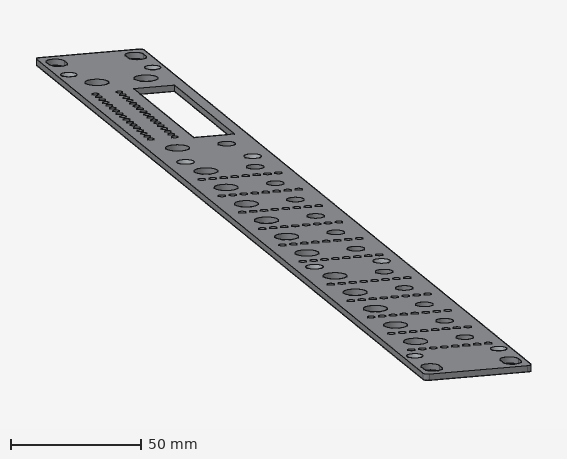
import cadquery as cq

panel_length = 483.0
panel_height = 43.5
panel_thickness = 2.5
corner_radius = 2.0

slot_length = 10.5
slot_width = 7.2
slot_x = 232.5
slot_y = 16.0

left_column_x = -200.5
left_to_display_column = 100.0
display_column_to_blocks = 35.5
block_pitch = 160.0
column_pitch = left_to_display_column / 4
block_column_counts = (6, 5)
knob_y = -10.0
upper_y = 9.5
knob_diameter = 9.0
button_diameter = 7.0

meter_offset = 11.0
meter_hole_count = 8
meter_span = 31.0
meter_hole_diameter = 3.0

window_length = 74.5
window_height = 16.5
window_x = -150.0
window_y = 8.5
indicator_count = 17
indicator_span = 68.5
indicator_hole_diameter = 2.6
indicator_rows_y = (-6.5, -16.0)

countersink_angle = 90
end_screw_x = 214.5
end_screw_y = 17.0
end_screw_diameter = 3.5
end_screw_head_diameter = 6.5
block_screw_offset = 15.0
block_screw_y = 13.5
block_screw_diameter = 3.0
block_screw_head_diameter = 7.0

display_column_x = left_column_x + left_to_display_column
first_block_x = display_column_x + display_column_to_blocks
block_starts = [first_block_x + i * block_pitch for i in range(len(block_column_counts))]
channel_columns = [
    start + i * column_pitch
    for start, count in zip(block_starts, block_column_counts)
    for i in range(count)
]


def spread(span, count):
    """Evenly spaced positions centred on zero."""
    return [span * (i / (count - 1) - 0.5) for i in range(count)]


def mirrored(x, y):
    """The four points at plus and minus x and y."""
    return [(side * x, level * y) for side in (-1, 1) for level in (-1, 1)]


def front_face(body, points):
    """The upper face of the panel with the given points picked, measured from the panel centre."""
    return body.faces(">Z").workplane(origin=(0, 0, 0)).pushPoints(points)


def cut_mounting_slots(body):
    return front_face(body, mirrored(slot_x, slot_y)).slot2D(slot_length, slot_width).cutThruAll()


def cut_display(body):
    body = front_face(body, [(window_x, window_y)]).rect(window_length, window_height).cutThruAll()
    indicators = [
        (window_x + x, y) for y in indicator_rows_y for x in spread(indicator_span, indicator_count)
    ]
    return front_face(body, indicators).hole(indicator_hole_diameter)


def drill_controls(body):
    button_columns = [display_column_x] + channel_columns
    knobs = [(x, knob_y) for x in [left_column_x] + button_columns]
    knobs.append((left_column_x, upper_y))
    buttons = [(x, upper_y) for x in button_columns]
    body = front_face(body, knobs).hole(knob_diameter)
    return front_face(body, buttons).hole(button_diameter)


def drill_meters(body):
    holes = [(x + meter_offset, y) for x in channel_columns for y in spread(meter_span, meter_hole_count)]
    return front_face(body, holes).hole(meter_hole_diameter)


def drill_screws(body):
    end_screws = mirrored(end_screw_x, end_screw_y)
    block_screws = [
        (start - block_screw_offset, level * block_screw_y) for start in block_starts for level in (-1, 1)
    ]
    body = front_face(body, end_screws).cskHole(
        end_screw_diameter, end_screw_head_diameter, countersink_angle
    )
    return front_face(body, block_screws).cskHole(
        block_screw_diameter, block_screw_head_diameter, countersink_angle
    )


panel = cq.Workplane("XY").box(panel_length, panel_height, panel_thickness)
panel = panel.edges("|Z").fillet(corner_radius)
panel = cut_mounting_slots(panel)
panel = cut_display(panel)
panel = drill_controls(panel)
panel = drill_meters(panel)
result = drill_screws(panel)